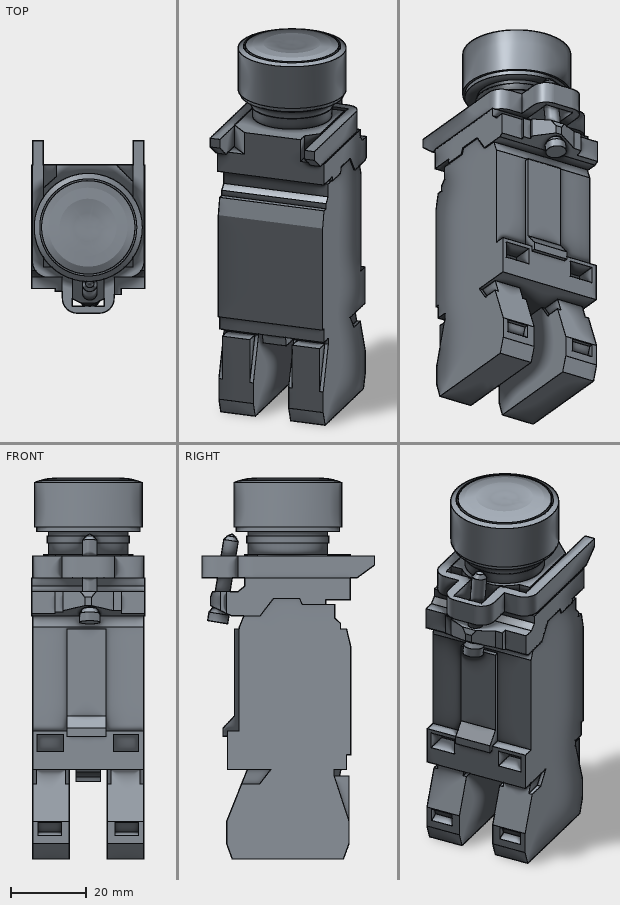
import cadquery as cq
import math


TOTAL_HEIGHT = 100.45
OVERLAP = 1.0

FLANGE_HALF = 29.9 / 2
BODY_HALF = 29.3 / 2

BODY_BOTTOM = 23.6
BODY_SHOULDER = 61.2
FLANGE_BOTTOM = 64.1
BRACKET_BOTTOM = 74.1
BRACKET_TOP = 79.9
DECK_TOP = 80.2

CAP_RADIUS = 14.25
CAP_TOP = 99.2
CAP_BOTTOM = 87.45
SKIRT_RADIUS = 13.65
SKIRT_BOTTOM = 86.3
NECK_RADIUS = 10.5
COLLAR_RADIUS = 10.85
COLLAR_TOP = 85.1
COLLAR_BOTTOM = 83.25
GROOVE_OUTER = 12.8
GROOVE_INNER = 12.3
GROOVE_DEPTH = 0.8
RIM_TOP = 99.75
LENS_EDGE = 99.9
LENS_SHOULDER_RADIUS = 10.4
LENS_SHOULDER = 100.3
DISH_RADIUS = 7.5
DISH_DEPTH = 0.5

BRACKET_WALL = 2.8
BRACKET_FRONT = -13.1
BRACKET_INNER_FRONT = -10.45
BRACKET_BACK = 22.85
BRACKET_CORNER = 4.0
NOSE_FRONT = -22.63
NOSE_HALF = 6.85
NOSE_INNER_HALF = 4.15
NOSE_INNER_FRONT = -20.75
ARM_TAPER_LENGTH = 4.6
ARM_TAPER_HEIGHT = 3.35

DECK_HALF = 11.75
DECK_FRONT = -7.95
DECK_BACK = 16.5
DECK_COLLAR_RADIUS = 11.7
DECK_COLLAR_FLAT = -11.4
DECK_NOTCH_X = -8.4
DECK_NOTCH_Y = 13.4
DECK_NOTCH_SLANT = 3.0
DECK_CHAMFER = 4.4

FLANGE_FACE = -16.1
FLANGE_TOP = 70.5
FLANGE_SLOPE_TOP = 71.9
FLANGE_BACK_BOTTOM = 68.3
FLANGE_BACK_STEP = 10.0
SEAT_LOW = 67.1
SEAT_HIGH = 68.65
SEAT_SLOPE_FRONT = -7.3
SEAT_SLOPE_BACK = -3.8
SEAT_STEP_FRONT = 3.1
SEAT_STEP_BACK = 3.8
SEAT_OUTLINE = [
    (SEAT_SLOPE_FRONT, FLANGE_BOTTOM),
    (SEAT_SLOPE_BACK, SEAT_HIGH),
    (SEAT_STEP_FRONT, SEAT_HIGH),
    (SEAT_STEP_BACK, SEAT_LOW),
]
STRIP_OUTER = 8.7
STRIP_INNER = 6.6
LEFT_STRIP_FACE = -16.85
RIGHT_STRIP_FACE = -17.7
PROW_TIP = -20.4
PROW_TIP_HALF = 0.9
PROW_CHAMFER_LENGTH = 0.55
PROW_CHAMFER_HEIGHT = 1.5
UNDERCUT_START = -14.9
UNDERCUT_SLOPE = 0.49

BODY_BACK = 16.6
BODY_TOP_BACK = 12.4
BODY_TOP_FRONT = -11.6
BACK_BEVEL_TOP = 63.5
BACK_BEVEL_BOTTOM = 62.1
BACK_STEP = 13.9
BACK_STEP_LEVEL = 60.65
BACK_RECESSED = 15.5
BACK_TAPER_BOTTOM = 56.0
BACK_UNDERCUT_TOP = 27.45
BODY_FACE = -12.8
TERMINAL_FACE = -15.95
TERMINAL_TOP = 33.8
WINDOW_DEPTH = 6.0
WINDOW_BOTTOM = 28.3
WINDOW_TOP = 32.8
WINDOW_SPANS = ((-13.5, -6.5), (6.6, 13.25))

LATCH_LEFT = -5.55
LATCH_RIGHT = 4.7
LATCH_FACE = -14.05
LATCH_LIP_FACE = -17.1
LATCH_TOP = BACK_STEP_LEVEL
LATCH_LIP_START = 37.75
LATCH_LIP_TOP = 34.5
LATCH_BOTTOM = 32.35

FOOT_WIDTH = 9.7
FOOT_FACE = 16.15
FOOT_BEVEL_TOP = 4.1
FOOT_BEVEL = 1.5
FOOT_SLOPE_BOTTOM = 9.9
FOOT_TOP_BACK = 12.2
FOOT_TOP_FRONT = -10.7
FOOT_LEDGE = 21.95
FOOT_SETBACK_BOTTOM = 19.85
SETBACK_CORNER = -7.4
SETBACK_TOP = -4.5
FOOT_INSET = 1.0
FOOT_WINDOW_WIDTH = 6.1
FOOT_WINDOW_SIDE = 1.45
FOOT_WINDOW_BOTTOM = 6.2
FOOT_WINDOW_TOP = 9.7
FOOT_WINDOW_APEX = 7.1
FOOT_WINDOW_DEPTH = 2.2
FOOT_WINDOW_ROOF_DEPTH = 1.1

HOOK_HALF = 3.25
HOOK_NECK_FRONT = 7.2
HOOK_FRONT = 8.0
HOOK_BACK = 14.0
HOOK_BOTTOM_BACK = 13.3
HOOK_BEVEL_TOP = 22.9
HOOK_BEVEL_BOTTOM = 21.6
HOOK_BOTTOM = 20.4

SCREW_X = 0.4
SCREW_TILT = 9.3
SCREW_RADIUS = 1.95
SCREW_HEAD_RADIUS = 2.7
SCREW_HEAD_HEIGHT = 2.3
SCREW_CONE_HEIGHT = 1.3
SCREW_LENGTH = 23.6
SCREW_TIP_HEIGHT = 1.8
SCREW_POINT_HEIGHT = 0.7
SCREW_POINT_RADIUS = 1.1
SCREW_HEAD_Y = -18.5
SCREW_HEAD_Z = 62.4


def prism_x(outline, x_left, x_right):
    """Extrude a (Y, Z) outline from x_left to x_right."""
    return cq.Workplane("YZ", origin=(x_left, 0, 0)).polyline(outline).close().extrude(x_right - x_left)


def prism_z(outline, z_bottom, z_top):
    """Extrude an (X, Y) outline from z_bottom to z_top."""
    return cq.Workplane("XY", origin=(0, 0, z_bottom)).polyline(outline).close().extrude(z_top - z_bottom)


def block(x_range, y_range, z_range):
    """Box given by its (low, high) limits along each axis."""
    sizes = [high - low for low, high in (x_range, y_range, z_range)]
    corner = (x_range[0], y_range[0], z_range[0])
    return cq.Workplane("XY").box(*sizes, centered=False).translate(corner)


def make_button_head():
    """Turned head: neck with collar, skirted cap and a lens with a shallow dish."""
    profile = (
        cq.Workplane("XZ")
        .moveTo(0, DECK_TOP - OVERLAP)
        .lineTo(NECK_RADIUS, DECK_TOP - OVERLAP)
        .lineTo(NECK_RADIUS, COLLAR_BOTTOM)
        .lineTo(COLLAR_RADIUS, COLLAR_BOTTOM)
        .lineTo(COLLAR_RADIUS, COLLAR_TOP)
        .lineTo(NECK_RADIUS, COLLAR_TOP)
        .lineTo(NECK_RADIUS, SKIRT_BOTTOM)
        .lineTo(SKIRT_RADIUS, SKIRT_BOTTOM)
        .lineTo(SKIRT_RADIUS, CAP_BOTTOM)
        .lineTo(CAP_RADIUS, CAP_BOTTOM)
        .lineTo(CAP_RADIUS, CAP_TOP)
        .lineTo(GROOVE_OUTER, RIM_TOP)
        .lineTo(GROOVE_OUTER, RIM_TOP - GROOVE_DEPTH)
        .lineTo(GROOVE_INNER, RIM_TOP - GROOVE_DEPTH)
        .lineTo(GROOVE_INNER, LENS_EDGE)
        .lineTo(LENS_SHOULDER_RADIUS, LENS_SHOULDER)
        .lineTo(DISH_RADIUS, TOTAL_HEIGHT)
    )
    dish_radius = (DISH_RADIUS**2 + DISH_DEPTH**2) / (2 * DISH_DEPTH)
    mid_radius = DISH_RADIUS / 2
    mid_rise = dish_radius - math.sqrt(dish_radius**2 - mid_radius**2)
    dish_bottom = TOTAL_HEIGHT - DISH_DEPTH
    profile = profile.threePointArc((mid_radius, dish_bottom + mid_rise), (0, dish_bottom)).close()
    return profile.revolve(360, (0, 0, 0), (0, 1, 0))


def make_bracket():
    """U-shaped bracket with tapered arm ends and a rounded, hollow nose."""
    z_range = (BRACKET_BOTTOM, BRACKET_TOP)
    frame = block((-BODY_HALF, BODY_HALF), (BRACKET_FRONT, BRACKET_BACK), z_range)
    frame = frame.edges("|Z and <Y").fillet(BRACKET_CORNER)
    nose = block((-NOSE_HALF, NOSE_HALF), (NOSE_FRONT, BRACKET_INNER_FRONT), z_range)
    nose = nose.edges("|Z and <Y").fillet(BRACKET_CORNER)
    inner_half = BODY_HALF - BRACKET_WALL
    frame_opening = block((-inner_half, inner_half), (BRACKET_INNER_FRONT, BRACKET_BACK), z_range)
    nose_opening = block((-NOSE_INNER_HALF, NOSE_INNER_HALF), (NOSE_INNER_FRONT, 0), z_range)
    taper = prism_x(
        [
            (BRACKET_BACK, BRACKET_BOTTOM),
            (BRACKET_BACK, BRACKET_BOTTOM + ARM_TAPER_HEIGHT),
            (BRACKET_BACK - ARM_TAPER_LENGTH, BRACKET_BOTTOM),
        ],
        -BODY_HALF,
        BODY_HALF,
    )
    return frame.union(nose).cut(frame_opening).cut(nose_opening).cut(taper)


def make_deck():
    """Deck between the bracket arms, cut at two back corners, with a round front flattened at its tip."""
    z_bottom = BRACKET_BOTTOM - OVERLAP
    plate = prism_z(
        [
            (-DECK_HALF, DECK_FRONT),
            (DECK_HALF, DECK_FRONT),
            (DECK_HALF, DECK_BACK - DECK_CHAMFER),
            (DECK_HALF - DECK_CHAMFER, DECK_BACK),
            (DECK_NOTCH_X, DECK_BACK),
            (DECK_NOTCH_X, DECK_NOTCH_Y),
            (-DECK_HALF, DECK_NOTCH_Y - DECK_NOTCH_SLANT),
        ],
        z_bottom,
        DECK_TOP,
    )
    collar = cq.Workplane("XY", origin=(0, 0, z_bottom)).circle(DECK_COLLAR_RADIUS)
    collar = collar.extrude(DECK_TOP - z_bottom)
    collar = collar.intersect(block((-DECK_HALF, DECK_HALF), (DECK_COLLAR_FLAT, 0), (z_bottom, DECK_TOP)))
    return plate.union(collar)


def make_flange():
    """Flange that grips the body, with a step strip on each side of the screw prow."""
    flange = prism_x(
        [
            (DECK_BACK, BRACKET_BOTTOM),
            (DECK_BACK, FLANGE_BACK_BOTTOM),
            (FLANGE_BACK_STEP, FLANGE_BACK_BOTTOM),
            (FLANGE_BACK_STEP, SEAT_LOW),
        ]
        + SEAT_OUTLINE[::-1]
        + [
            (FLANGE_FACE, FLANGE_BOTTOM),
            (FLANGE_FACE, FLANGE_TOP),
            (BRACKET_FRONT, FLANGE_TOP),
            (DECK_COLLAR_FLAT, FLANGE_SLOPE_TOP),
            (DECK_COLLAR_FLAT, BRACKET_BOTTOM),
        ],
        -FLANGE_HALF,
        FLANGE_HALF,
    )
    prow = prism_z(
        [
            (-STRIP_OUTER, FLANGE_FACE + OVERLAP),
            (-STRIP_OUTER, LEFT_STRIP_FACE),
            (-STRIP_INNER, LEFT_STRIP_FACE),
            (-STRIP_INNER, RIGHT_STRIP_FACE),
            (-PROW_TIP_HALF, PROW_TIP),
            (PROW_TIP_HALF, PROW_TIP),
            (STRIP_INNER, RIGHT_STRIP_FACE),
            (STRIP_OUTER, RIGHT_STRIP_FACE),
            (STRIP_OUTER, FLANGE_FACE + OVERLAP),
        ],
        FLANGE_BOTTOM,
        FLANGE_TOP,
    )
    tip_chamfer = prism_x(
        [
            (PROW_TIP, FLANGE_TOP),
            (PROW_TIP, FLANGE_TOP - PROW_CHAMFER_HEIGHT),
            (PROW_TIP + PROW_CHAMFER_LENGTH, FLANGE_TOP),
        ],
        -STRIP_INNER,
        STRIP_INNER,
    )
    undercut_rise = (UNDERCUT_START - PROW_TIP) * UNDERCUT_SLOPE
    undercut = prism_x(
        [
            (UNDERCUT_START, FLANGE_BOTTOM),
            (PROW_TIP, FLANGE_BOTTOM),
            (PROW_TIP, FLANGE_BOTTOM + undercut_rise),
        ],
        -FLANGE_HALF,
        FLANGE_HALF,
    )
    return flange.union(prow).cut(tip_chamfer).cut(undercut)


def make_body():
    """Contact body with two wire windows in its front terminal block."""
    body = prism_x(
        [
            (BODY_TOP_BACK, SEAT_LOW),
            (BODY_TOP_BACK, BACK_BEVEL_TOP),
            (BACK_STEP, BACK_BEVEL_BOTTOM),
            (BACK_STEP, BACK_STEP_LEVEL),
            (BACK_RECESSED, BACK_STEP_LEVEL),
            (BODY_BACK, BACK_TAPER_BOTTOM),
            (BODY_BACK, BACK_UNDERCUT_TOP),
            (BACK_RECESSED, BACK_UNDERCUT_TOP),
            (BACK_RECESSED, BODY_BOTTOM),
            (TERMINAL_FACE, BODY_BOTTOM),
            (TERMINAL_FACE, TERMINAL_TOP),
            (BODY_FACE, TERMINAL_TOP),
            (BODY_FACE, BODY_SHOULDER),
            (BODY_TOP_FRONT, FLANGE_BOTTOM),
        ]
        + SEAT_OUTLINE,
        -BODY_HALF,
        BODY_HALF,
    )
    window_depth_range = (TERMINAL_FACE, TERMINAL_FACE + WINDOW_DEPTH)
    for window_span in WINDOW_SPANS:
        body = body.cut(block(window_span, window_depth_range, (WINDOW_BOTTOM, WINDOW_TOP)))
    return body


def make_latch():
    """Raised strip down the front of the body, ending in a lip over the terminal block."""
    return prism_x(
        [
            (BODY_FACE + OVERLAP, LATCH_TOP),
            (LATCH_FACE, LATCH_TOP),
            (LATCH_FACE, LATCH_LIP_START),
            (LATCH_LIP_FACE, LATCH_LIP_TOP),
            (LATCH_LIP_FACE, LATCH_BOTTOM),
            (BODY_FACE + OVERLAP, LATCH_BOTTOM),
        ],
        LATCH_LEFT,
        LATCH_RIGHT,
    )


def make_foot():
    """Left foot, with its sides set back at the two upper corners and a wire window in front."""
    x_left = -BODY_HALF
    x_right = x_left + FOOT_WIDTH
    foot = prism_x(
        [
            (FOOT_TOP_BACK, BODY_BOTTOM),
            (FOOT_TOP_BACK, FOOT_LEDGE),
            (FOOT_FACE, FOOT_LEDGE),
            (FOOT_FACE, FOOT_BEVEL_TOP),
            (FOOT_FACE - FOOT_BEVEL, 0),
            (-FOOT_FACE + FOOT_BEVEL, 0),
            (-FOOT_FACE, FOOT_BEVEL_TOP),
            (-FOOT_FACE, FOOT_SLOPE_BOTTOM),
            (FOOT_TOP_FRONT, BODY_BOTTOM),
        ],
        x_left,
        x_right,
    )
    front_setback = [
        (-FOOT_FACE, FOOT_SETBACK_BOTTOM),
        (SETBACK_CORNER, FOOT_SETBACK_BOTTOM),
        (SETBACK_TOP, BODY_BOTTOM),
        (-FOOT_FACE, BODY_BOTTOM),
    ]
    back_setback = [
        (FOOT_FACE, FOOT_SLOPE_BOTTOM),
        (FOOT_TOP_BACK, FOOT_LEDGE),
        (FOOT_FACE, FOOT_LEDGE),
    ]
    for setback in (front_setback, back_setback):
        foot = foot.cut(prism_x(setback, x_left, x_left + FOOT_INSET))
        foot = foot.cut(prism_x(setback, x_right - FOOT_INSET, x_right))
    window = prism_x(
        [
            (-FOOT_FACE, FOOT_WINDOW_BOTTOM),
            (-FOOT_FACE, FOOT_WINDOW_TOP),
            (-FOOT_FACE + FOOT_WINDOW_ROOF_DEPTH, FOOT_WINDOW_TOP),
            (-FOOT_FACE + FOOT_WINDOW_DEPTH, FOOT_WINDOW_APEX),
        ],
        x_left + FOOT_WINDOW_SIDE,
        x_left + FOOT_WINDOW_SIDE + FOOT_WINDOW_WIDTH,
    )
    return foot.cut(window)


def make_hook():
    """Release hook hanging under the body between the feet."""
    return prism_x(
        [
            (HOOK_NECK_FRONT, BODY_BOTTOM + OVERLAP),
            (HOOK_NECK_FRONT, HOOK_BEVEL_TOP),
            (HOOK_FRONT, HOOK_BEVEL_BOTTOM),
            (HOOK_FRONT, HOOK_BOTTOM),
            (HOOK_BOTTOM_BACK, HOOK_BOTTOM),
            (HOOK_BACK, BODY_BOTTOM),
            (HOOK_BACK, BODY_BOTTOM + OVERLAP),
        ],
        -HOOK_HALF,
        HOOK_HALF,
    )


def make_screw():
    """Turned clamping screw, built upright from its head and then tilted about X."""
    screw = (
        cq.Workplane("XZ")
        .moveTo(0, 0)
        .lineTo(SCREW_HEAD_RADIUS, 0)
        .lineTo(SCREW_HEAD_RADIUS, SCREW_HEAD_HEIGHT)
        .lineTo(SCREW_RADIUS, SCREW_HEAD_HEIGHT + SCREW_CONE_HEIGHT)
        .lineTo(SCREW_RADIUS, SCREW_LENGTH - SCREW_TIP_HEIGHT)
        .lineTo(SCREW_POINT_RADIUS, SCREW_LENGTH - SCREW_POINT_HEIGHT)
        .lineTo(0, SCREW_LENGTH)
        .close()
        .revolve(360, (0, 0, 0), (0, 1, 0))
    )
    tilted = screw.rotate((0, 0, 0), (1, 0, 0), -SCREW_TILT)
    return tilted.translate((SCREW_X, SCREW_HEAD_Y, SCREW_HEAD_Z))


left_foot = make_foot()
result = (
    make_body()
    .union(make_latch())
    .union(left_foot)
    .union(left_foot.mirror("YZ"))
    .union(make_hook())
    .union(make_flange())
    .union(make_deck())
    .union(make_bracket())
    .union(make_button_head())
    .union(make_screw())
)